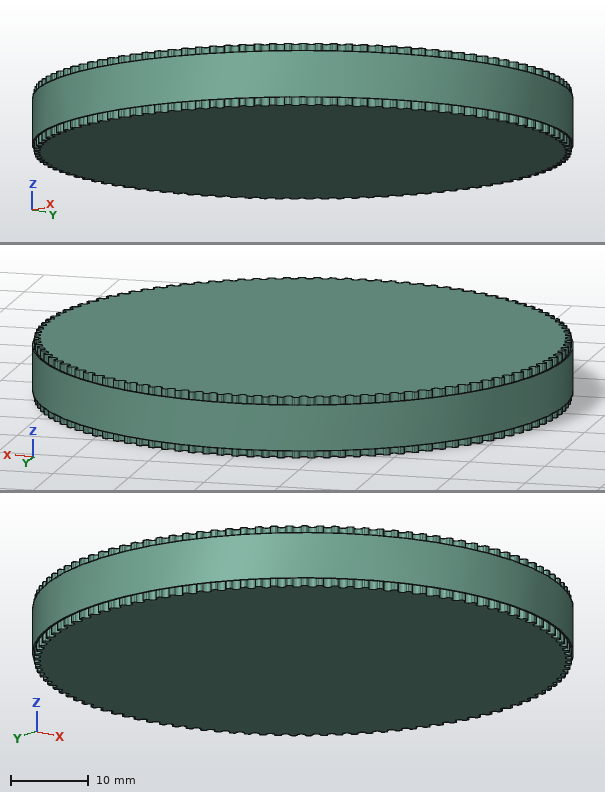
import cadquery as cq
import math

outer_diameter = 69.4
height = 8.0
tooth_count = 109
bare_tooth_length = 1.0
rim_wall = 0.26
groove_depth = 0.75
groove_radius = 0.55
tip_round = 0.2

rim_radius = outer_diameter / 2
rim_height = height - 2 * bare_tooth_length
tip_radius = rim_radius - rim_wall
floor_radius = tip_radius - groove_depth
pitch_angle = 2 * math.pi / tooth_count
first_groove = (math.pi + pitch_angle) / 2

bottom_center = cq.Vector(floor_radius + groove_radius, 0)
corner_radius = tip_radius - tip_round
center_gap = groove_radius + tip_round
corner_angle = math.acos(
    (bottom_center.x**2 + corner_radius**2 - center_gap**2) / (2 * bottom_center.x * corner_radius)
)
corner_center = cq.Vector(corner_radius * math.cos(corner_angle), corner_radius * math.sin(corner_angle))

floor_point = cq.Vector(floor_radius, 0)
flank_point = bottom_center + (corner_center - bottom_center) * (groove_radius / center_gap)
tip_point = corner_center * (tip_radius / corner_radius)
tip_middle = cq.Vector(tip_radius, 0)
toward_round = (flank_point - corner_center) + (tip_point - corner_center)
round_point = corner_center + toward_round.normalized() * tip_round


def turned(point, angle, side=1):
    """Point of the +X groove, on flank side +1 or -1, turned about the disc axis."""
    x = point.x
    y = side * point.y
    return (
        x * math.cos(angle) - y * math.sin(angle),
        x * math.sin(angle) + y * math.cos(angle),
    )


def toothed_disc():
    """Full-height disc whose edge alternates round grooves and narrow tooth tips."""
    outline = cq.Workplane("XY").moveTo(*turned(tip_point, first_groove, -1))
    for index in range(tooth_count):
        angle = first_groove + index * pitch_angle
        next_angle = angle + pitch_angle
        outline = (
            outline
            .threePointArc(turned(round_point, angle, -1), turned(flank_point, angle, -1))
            .threePointArc(turned(floor_point, angle), turned(flank_point, angle))
            .threePointArc(turned(round_point, angle), turned(tip_point, angle))
            .threePointArc(
                turned(tip_middle, angle + pitch_angle / 2),
                turned(tip_point, next_angle, -1),
            )
        )
    return outline.close().extrude(height)


def rim():
    """Smooth ring around the middle of the teeth, open between them from face to face."""
    return (
        cq.Workplane("XY")
        .workplane(offset=bare_tooth_length)
        .circle(rim_radius)
        .circle(tip_radius)
        .extrude(rim_height)
    )


result = toothed_disc().union(rim())